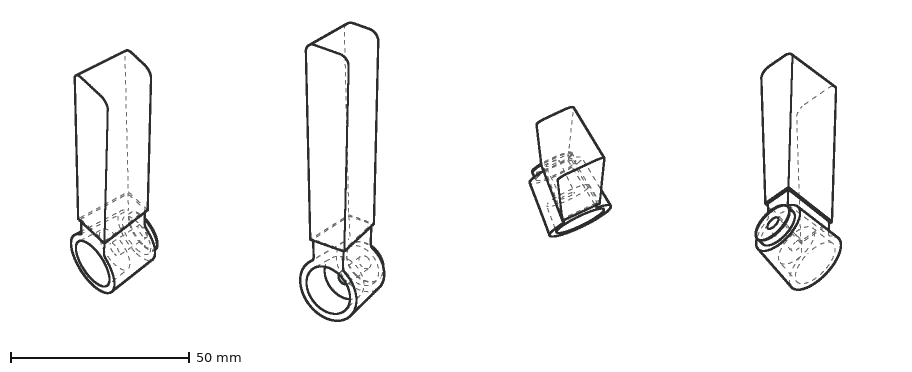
import cadquery as cq
import math


OVERALL_HEIGHT = 88.9
DRAFT_ANGLE = 5.0

HUB_DIAMETER = 19.1
HUB_LENGTH = 16.0
NECK_ROOT_HALF_WIDTH = 4.6
NECK_FLARE_ANGLE = 2.2
NECK_HUB_FILLET = 2.0
BORE_RADIUS = 7.4
BORE_FLOOR_RADIUS = 6.7
BORE_DEPTH = 8.0
BOSS_RADIUS = 6.2
BOSS_LENGTH = 2.2

GRIP_BOTTOM = 14.9
GRIP_OVERHANG = 0.5
GRIP_BOTTOM_HALF_WIDTH = 5.8
GRIP_FLARE_ANGLE = 1.4
GRIP_TOP_SLOPE = 3.0
GRIP_CORNER_FILLET = 3.0

STEM_RADIUS = 2.05
FLANGE_THICKNESS = 0.3

hub_radius = HUB_DIAMETER / 2
grip_top = OVERALL_HEIGHT - hub_radius
grip_depth = HUB_LENGTH + 2 * GRIP_OVERHANG
boss_end = HUB_LENGTH + BOSS_LENGTH


def slope_offset(angle, distance):
    """Sideways shift of a face that leans by angle degrees over a distance."""
    return distance * math.tan(math.radians(angle))


def disc(y_start, length, radius):
    """Cylinder along +Y."""
    return cq.Workplane("XZ", origin=(0, y_start, 0)).circle(radius).extrude(-length)


def cone(front_radius, back_radius, length):
    """Round frustum from the open hub face along +Y."""
    along_y = cq.Vector(0, 1, 0)
    return cq.Workplane(cq.Solid.makeCone(front_radius, back_radius, length, cq.Vector(), along_y))


def flared_bar(y_front, depth, bottom, bottom_half_width, flare_angle, top, top_drop):
    """Bar that widens upwards and narrows towards the back, with a sloping top."""

    def section(y, inset, height):
        bottom_x = bottom_half_width - inset
        top_x = bottom_x + slope_offset(flare_angle, height - bottom)
        corners = [(-bottom_x, bottom), (bottom_x, bottom), (top_x, height), (-top_x, height)]
        points = [cq.Vector(x, y, z) for x, z in corners]
        return cq.Wire.makePolygon(points, close=True)

    front = section(y_front, 0, top)
    back = section(y_front + depth, slope_offset(DRAFT_ANGLE, depth), top - top_drop)
    return cq.Workplane(cq.Solid.makeLoft([front, back], True))


def make_lever():
    """Drafted hub with a floored bore, a boss behind it and a neck that ends at the grip."""
    hub_back_radius = hub_radius - slope_offset(DRAFT_ANGLE, HUB_LENGTH)
    hub = cone(hub_radius, hub_back_radius, HUB_LENGTH)
    neck = flared_bar(0, HUB_LENGTH, 0, NECK_ROOT_HALF_WIDTH, NECK_FLARE_ANGLE, GRIP_BOTTOM, 0)
    body = hub.union(neck)

    crease_zone = cq.selectors.BoxSelector(
        (-hub_radius, HUB_LENGTH / 4, hub_radius / 2),
        (hub_radius, HUB_LENGTH * 3 / 4, hub_radius),
    )
    body = body.edges(crease_zone).fillet(NECK_HUB_FILLET)

    body = body.union(disc(HUB_LENGTH, BOSS_LENGTH, BOSS_RADIUS))
    body = body.cut(cone(BORE_RADIUS, BORE_FLOOR_RADIUS, BORE_DEPTH))
    return body.cut(disc(BORE_DEPTH, boss_end - BORE_DEPTH, STEM_RADIUS))


def make_grip():
    """Flared grip standing on the neck, with both long top corners rounded."""
    top_drop = slope_offset(GRIP_TOP_SLOPE, grip_depth)
    bar = flared_bar(
        -GRIP_OVERHANG,
        grip_depth,
        GRIP_BOTTOM,
        GRIP_BOTTOM_HALF_WIDTH,
        GRIP_FLARE_ANGLE,
        grip_top,
        top_drop,
    )
    top_corners = bar.faces(">Z").edges("not |X")
    return top_corners.fillet(GRIP_CORNER_FILLET)


def make_pin():
    """Stem flush with the bore floor, with a thin flange that caps the boss."""
    stem = disc(BORE_DEPTH, boss_end - BORE_DEPTH, STEM_RADIUS)
    flange = disc(boss_end, FLANGE_THICKNESS, BOSS_RADIUS)
    return stem.union(flange)


lever = make_lever()
grip = make_grip()
pin = make_pin()

result = cq.Compound.makeCompound([lever.val(), grip.val(), pin.val()])